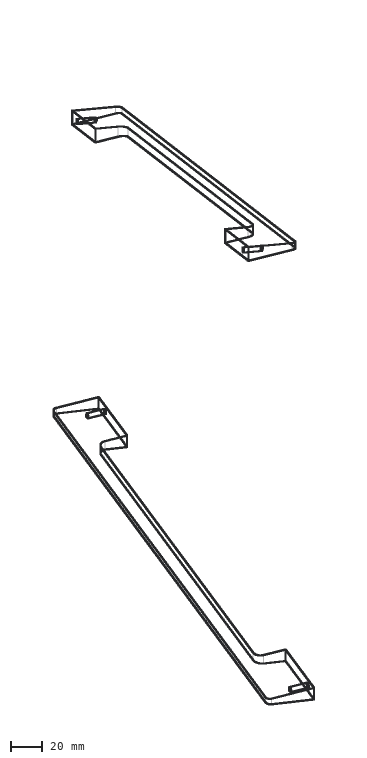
import cadquery as cq
import math

length = 340.0
depth = 32.0
foot_height = 9.0
grip_edge_height = 4.0

foot_length = 45.0
grip_width = 12.0
outer_corner_radius = 3.0
inner_corner_radius = 5.0

hole_spacing = 320.0
hole_diameter = 3.3
hole_depth = 12.0
drill_point_angle = 118.0

opening_length = length - 2 * foot_length
opening_depth = depth - grip_width


def make_tapered_bar():
    """Wedge with a flat top at Z = 0 and an underside sloping up toward +Y."""
    return (
        cq.Workplane("YZ")
        .polyline([(0, 0), (depth, 0), (depth, -grip_edge_height), (0, -foot_height)])
        .close()
        .extrude(length / 2, both=True)
        .edges("|Z and >Y")
        .fillet(outer_corner_radius)
    )


def make_finger_opening():
    """Rounded block that separates the two feet."""
    return (
        cq.Workplane("XY")
        .box(opening_length, opening_depth, foot_height, centered=(True, False, False))
        .translate((0, 0, -foot_height))
        .edges("|Z and >Y")
        .fillet(inner_corner_radius)
    )


def make_mounting_hole(x):
    """Blind drilled hole with a conical end, running into a foot from Y = 0."""
    radius = hole_diameter / 2
    point_depth = radius / math.tan(math.radians(drill_point_angle / 2))
    return (
        cq.Workplane("XY")
        .polyline([(0, 0), (radius, 0), (radius, hole_depth), (0, hole_depth + point_depth)])
        .close()
        .revolve(360, (0, 0, 0), (0, 1, 0))
        .translate((x, 0, -foot_height / 2))
    )


result = make_tapered_bar().cut(make_finger_opening())
for side in (-1, 1):
    result = result.cut(make_mounting_hole(side * hole_spacing / 2))